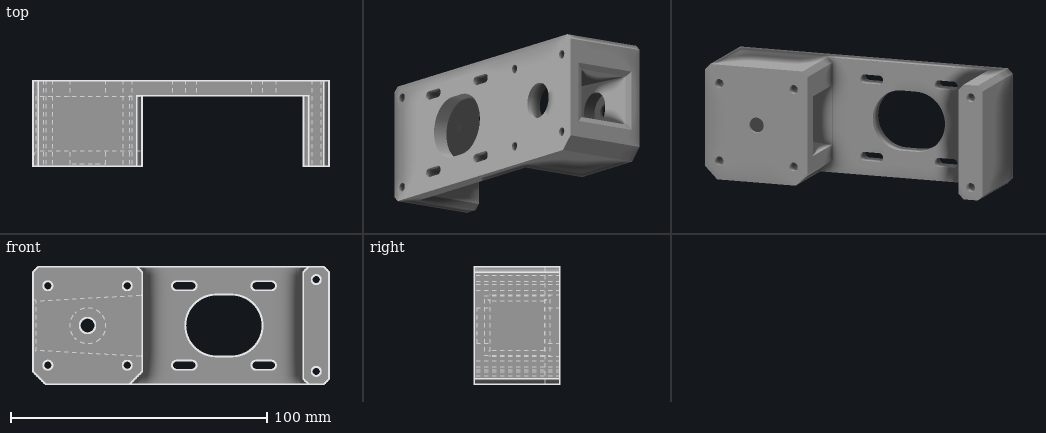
import cadquery as cq

LENGTH = 115.5
DEPTH = 33.5
HEIGHT = 45.9

PLATE_THICKNESS = 6.0
BLOCK_LENGTH = 42.6
ARM_LENGTH = 10.0
EDGE_CHAMFER = 2.1
BLOCK_BOTTOM_CHAMFER = 5.0

PASSAGE_WIDTH = 21.4
PASSAGE_HEIGHT = 19.2
PASSAGE_END_HEIGHT = 23.8
LEAD_IN_FLARE = 2.1
LEAD_IN_LENGTH = 1.0

SCREW_DIAMETER = 3.5
SCREW_PITCH = 31.0
ARM_SCREW_PITCH = 35.8
SHAFT_HOLE_DIAMETER = 6.0
BEARING_BORE_DIAMETER = 14.0
BEARING_LIP_THICKNESS = 1.0
WINDOW_DIAMETER = 24.0
WINDOW_X = 16.7
SLOT_TRAVEL = 6.0

LEFT = -LENGTH / 2
RIGHT = LENGTH / 2
BLOCK_RIGHT = LEFT + BLOCK_LENGTH
BLOCK_X = LEFT + BLOCK_LENGTH / 2
ARM_LEFT = RIGHT - ARM_LENGTH
ARM_X = RIGHT - ARM_LENGTH / 2


def bar(x_min, x_max, y_min, y_max):
    """Full-height box between the given X and Y limits."""
    centre = ((x_min + x_max) / 2, (y_min + y_max) / 2, 0)
    return cq.Workplane("XY").box(x_max - x_min, y_max - y_min, HEIGHT).translate(centre)


def front_sketch(x_centre, y=0):
    """Sketch plane facing the front at depth y: local x runs along X and local y along Z."""
    return cq.Workplane("XZ", origin=(x_centre, y, 0))


def passage_section(x_start, x_end, start_size, end_size):
    """Straight-sided stretch of the passage between two (width, height) rectangles."""
    return (
        cq.Workplane("YZ", origin=(x_start, DEPTH / 2, 0))
        .rect(*start_size)
        .workplane(offset=x_end - x_start)
        .rect(*end_size)
        .loft(ruled=True)
    )


def screw_holes(x_centre, x_pitch, z_pitch, columns):
    """Columns of two screw holes through the full depth."""
    return (
        front_sketch(x_centre)
        .rarray(x_pitch, z_pitch, columns, 2)
        .circle(SCREW_DIAMETER / 2)
        .extrude(-DEPTH)
    )


block = bar(LEFT, BLOCK_RIGHT, 0, DEPTH)
block = block.edges("|Y and >Z").chamfer(EDGE_CHAMFER)
block = block.edges("|Y and <Z").chamfer(BLOCK_BOTTOM_CHAMFER)

arm = bar(ARM_LEFT, RIGHT, 0, DEPTH).edges("|Y").chamfer(EDGE_CHAMFER)

plate = bar(BLOCK_X, ARM_X, DEPTH - PLATE_THICKNESS, DEPTH)
body = block.union(arm).union(plate)

mouth_size = (PASSAGE_WIDTH + 2 * LEAD_IN_FLARE, PASSAGE_HEIGHT + 2 * LEAD_IN_FLARE)
throat_size = (PASSAGE_WIDTH, PASSAGE_HEIGHT)
end_size = (PASSAGE_WIDTH, PASSAGE_END_HEIGHT)
throat_x = LEFT + LEAD_IN_LENGTH
body = body.cut(passage_section(LEFT, throat_x, mouth_size, throat_size))
body = body.cut(passage_section(throat_x, BLOCK_RIGHT, throat_size, end_size))

shaft_hole = front_sketch(BLOCK_X).circle(SHAFT_HOLE_DIAMETER / 2).extrude(-DEPTH)
bearing_bore = (
    front_sketch(BLOCK_X, BEARING_LIP_THICKNESS)
    .circle(BEARING_BORE_DIAMETER / 2)
    .extrude(BEARING_LIP_THICKNESS - DEPTH)
)
body = body.cut(shaft_hole).cut(bearing_bore)

body = body.cut(screw_holes(BLOCK_X, SCREW_PITCH, SCREW_PITCH, columns=2))
body = body.cut(screw_holes(ARM_X, ARM_LENGTH, ARM_SCREW_PITCH, columns=1))

window = (
    front_sketch(WINDOW_X)
    .slot2D(WINDOW_DIAMETER + SLOT_TRAVEL, WINDOW_DIAMETER)
    .extrude(-DEPTH)
)
slots = (
    front_sketch(WINDOW_X)
    .rarray(SCREW_PITCH, SCREW_PITCH, 2, 2)
    .slot2D(SCREW_DIAMETER + SLOT_TRAVEL, SCREW_DIAMETER)
    .extrude(-DEPTH)
)
result = body.cut(window).cut(slots)